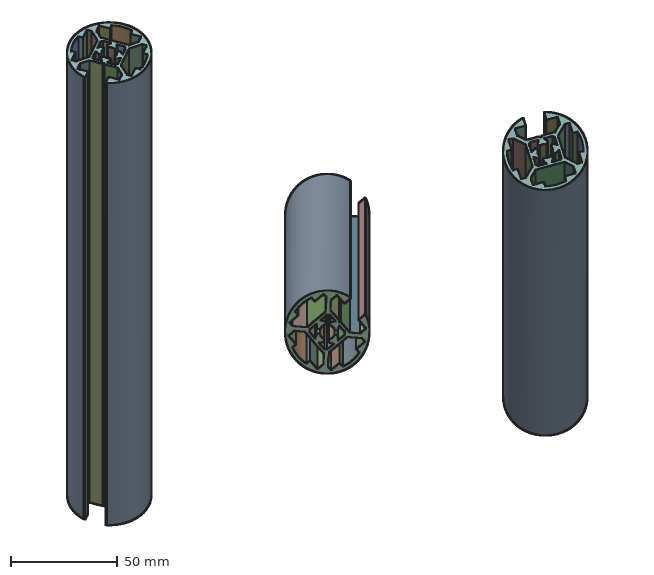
import cadquery as cq
import math

length = 300.0
outer_diameter = 40.0
overall_depth = 39.0
skin = 1.95
outer_radius = outer_diameter / 2
skin_radius = outer_radius - skin
lip_end = overall_depth - outer_radius

mouth_width = 10.2
slot_width = 21.0
lip_depth = 15.0
mouth_half = mouth_width / 2
slot_half = slot_width / 2

core_width = 16.0
core_wall = 1.65
bore_chamfer = 1.0
core_half = core_width / 2
bore_half = core_half - core_wall

rib_offset_y_slots = 1.0
rib_offset_x_slots = 2.25

screw_radius = 3.5
tooth_tip_half = 1.65
tooth_wide_half = 2.7
tooth_wide_height = 4.2
tooth_neck_half = 1.35

groove_half_width = 0.5
groove_depth = 0.5


def around_axis(solid, quarter):
    """Turn a solid about the axis of the extrusion by a number of quarter turns."""
    return solid.rotate((0, 0, 0), (0, 0, 1), 90 * quarter)


def slot_cavity(rib_offset):
    """Closed slot on the +Y side, with a roof concentric with the outer skin."""
    floor_half = core_half - rib_offset
    rib_end = slot_half + rib_offset
    roof_corner = math.sqrt(skin_radius**2 - mouth_half**2)
    return (
        cq.Workplane("XY")
        .moveTo(-floor_half, core_half)
        .lineTo(-slot_half, rib_end)
        .lineTo(-slot_half, lip_depth)
        .lineTo(-mouth_half, lip_depth)
        .lineTo(-mouth_half, roof_corner)
        .threePointArc((0, skin_radius), (mouth_half, roof_corner))
        .lineTo(mouth_half, lip_depth)
        .lineTo(slot_half, lip_depth)
        .lineTo(slot_half, rib_end)
        .lineTo(floor_half, core_half)
        .close()
        .extrude(length)
    )


def tooth():
    """Tooth on the +Y wall of the core; its concave tip lies on the screw circle."""
    tip_height = math.sqrt(screw_radius**2 - tooth_tip_half**2)
    return (
        cq.Workplane("XY")
        .moveTo(-tooth_neck_half, core_half)
        .lineTo(-tooth_neck_half, bore_half)
        .lineTo(-tooth_wide_half, tooth_wide_height)
        .lineTo(-tooth_tip_half, tip_height)
        .threePointArc((0, screw_radius), (tooth_tip_half, tip_height))
        .lineTo(tooth_wide_half, tooth_wide_height)
        .lineTo(tooth_neck_half, bore_half)
        .lineTo(tooth_neck_half, core_half)
        .close()
        .extrude(length)
    )


def screw_channel():
    """Hollow of the core tube, less the four teeth."""
    channel = (
        cq.Workplane("XY")
        .rect(2 * bore_half, 2 * bore_half)
        .extrude(length)
        .edges("|Z")
        .chamfer(bore_chamfer)
    )
    for quarter in range(4):
        channel = channel.cut(around_axis(tooth(), quarter))
    return channel


def slot_mouth():
    """Opening through the skin on the -Y side, with the lip ends trimmed flat."""
    mouth = (
        cq.Workplane("XY")
        .center(0, -(lip_depth + outer_radius) / 2)
        .rect(mouth_width, outer_radius - lip_depth)
        .extrude(length)
    )
    trim = (
        cq.Workplane("XY")
        .center(0, -(lip_end + outer_radius) / 2)
        .rect(outer_diameter, outer_radius - lip_end)
        .extrude(length)
    )
    return mouth.union(trim)


def centring_groove():
    """V groove along the middle of the open slot's floor."""
    return (
        cq.Workplane("XY")
        .moveTo(-groove_half_width, -core_half)
        .lineTo(0, groove_depth - core_half)
        .lineTo(groove_half_width, -core_half)
        .close()
        .extrude(length)
    )


result = cq.Workplane("XY").circle(outer_radius).extrude(length)
for quarter in (0, 2):
    result = result.cut(around_axis(slot_cavity(rib_offset_y_slots), quarter))
for quarter in (1, 3):
    result = result.cut(around_axis(slot_cavity(rib_offset_x_slots), quarter))
result = result.cut(screw_channel())
result = result.cut(slot_mouth())
result = result.cut(centring_groove())